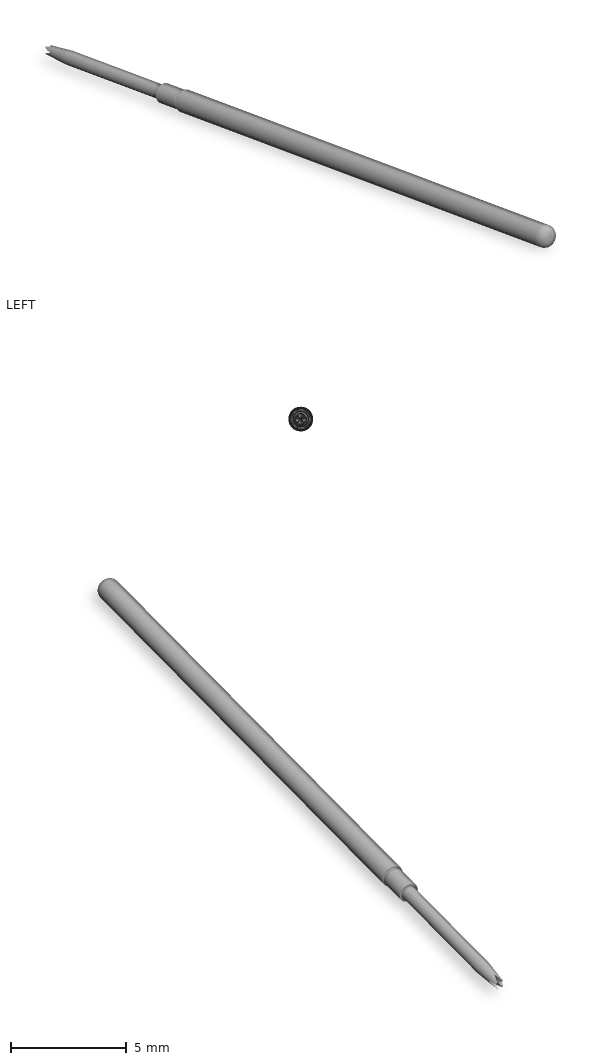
import cadquery as cq


total_length = 33.02
taper_end = 1.4
collar_start = 7.6
collar_end = 8.81
barrel_start = 8.96

tip_diameter = 0.44
plunger_diameter = 0.66
collar_diameter = 0.91
neck_diameter = 0.8
barrel_diameter = 1.02

end_round_radius = 0.38

notch_depth = 0.48
notch_width = 0.25


def make_body():
    """Revolve the stepped half profile about the X axis."""
    plunger_radius = plunger_diameter / 2
    collar_radius = collar_diameter / 2
    barrel_radius = barrel_diameter / 2
    groove_bottom = ((collar_end + barrel_start) / 2, neck_diameter / 2)
    profile = (
        cq.Workplane("XY")
        .moveTo(0, 0)
        .lineTo(0, tip_diameter / 2)
        .lineTo(taper_end, plunger_radius)
        .lineTo(collar_start, plunger_radius)
        .lineTo(collar_start, collar_radius)
        .lineTo(collar_end, collar_radius)
        .threePointArc(groove_bottom, (barrel_start, collar_radius))
        .lineTo(barrel_start, barrel_radius)
        .lineTo(total_length - end_round_radius, barrel_radius)
        .radiusArc((total_length, barrel_radius - end_round_radius), end_round_radius)
        .lineTo(total_length, 0)
        .close()
    )
    return profile.revolve(360, (0, 0, 0), (1, 0, 0))


def make_notch(plane):
    """V-shaped cutter across the tip, running along the normal of the plane."""
    half_width = notch_width / 2
    return (
        cq.Workplane(plane)
        .polyline([(0, -half_width), (notch_depth, 0), (0, half_width)])
        .close()
        .extrude(plunger_diameter, both=True)
    )


result = make_body()
for notch_plane in ("XY", "XZ"):
    result = result.cut(make_notch(notch_plane))